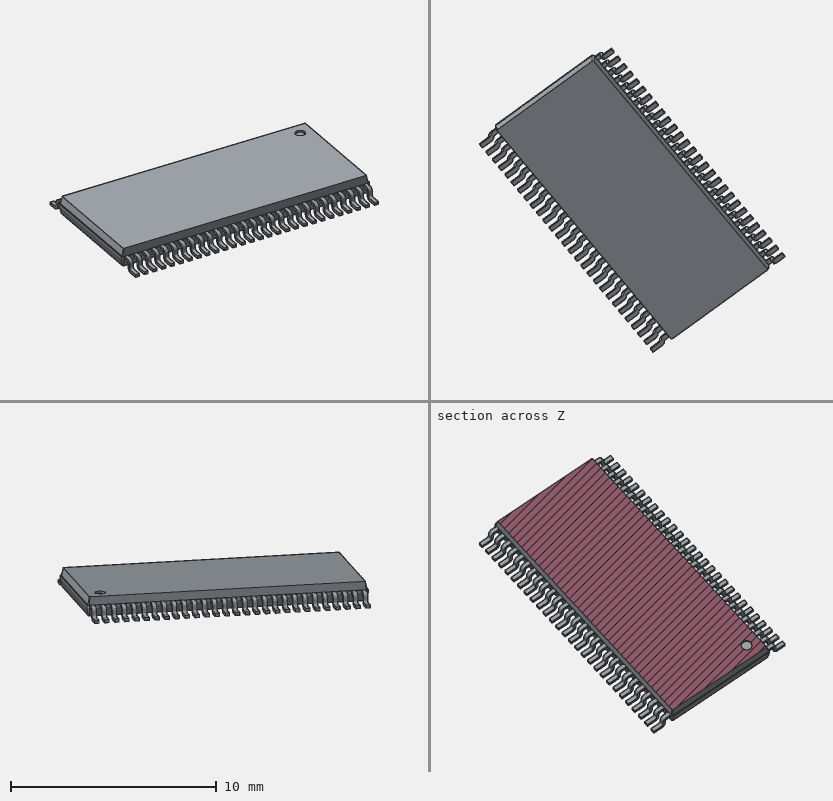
import cadquery as cq
import math

span_x = 8.1
body_length = 14.0
top_z = 1.05

inner_bend_radius = 0.102
outer_bend_radius = 0.25
lead_thickness = outer_bend_radius - inner_bend_radius

body_width = 6.1
standoff = 0.1
belt_height = lead_thickness
upper_ledge = 0.049
draft_angle = 12
corner_chamfer = 0.1
belt_mid_z = (standoff + top_z) / 2
belt_bottom_z = belt_mid_z - belt_height / 2
belt_top_z = belt_mid_z + belt_height / 2

dimple_diameter = 0.5
dimple_depth = 0.1
dimple_x = -2.21
dimple_y = 6.17

leads_per_side = 28
lead_pitch = body_length / leads_per_side
lead_gap = 0.28
lead_width = lead_pitch - lead_gap
shin_outer_x = 3.5
shin_inner_x = shin_outer_x - lead_thickness
lead_embed_depth = 0.28
lead_root_x = body_width / 2 - lead_embed_depth
toe_x = span_x / 2


def chamfered_slab(start_z, height, ledge=0, draft=0):
    """Body outline, set in by ledge all round, extruded from start_z and drafted inward."""
    corner_leg = corner_chamfer - ledge * (2 - math.sqrt(2))
    outline = (
        cq.Sketch()
        .rect(body_width - 2 * ledge, body_length - 2 * ledge)
        .vertices()
        .chamfer(corner_leg)
    )
    return (
        cq.Workplane("XY", origin=(0, 0, start_z))
        .placeSketch(outline)
        .extrude(height, taper=draft)
    )


def make_body():
    belt = chamfered_slab(belt_bottom_z, belt_height)
    upper = chamfered_slab(belt_top_z, top_z - belt_top_z, upper_ledge, draft_angle)
    lower = chamfered_slab(belt_bottom_z, standoff - belt_bottom_z, draft=draft_angle)
    return belt.union(upper).union(lower)


def make_dimple():
    return (
        cq.Workplane("XY")
        .workplane(offset=top_z - dimple_depth)
        .center(dimple_x, dimple_y)
        .circle(dimple_diameter / 2)
        .extrude(dimple_depth)
    )


def make_lead(y):
    """One lead on the +X side, centred on y."""
    return (
        cq.Workplane("XZ", origin=(0, y, 0))
        .moveTo(lead_root_x, belt_top_z)
        .lineTo(shin_outer_x - outer_bend_radius, belt_top_z)
        .tangentArcPoint((outer_bend_radius, -outer_bend_radius))
        .lineTo(shin_outer_x, lead_thickness + inner_bend_radius)
        .tangentArcPoint((inner_bend_radius, -inner_bend_radius))
        .lineTo(toe_x, lead_thickness)
        .lineTo(toe_x, 0)
        .lineTo(shin_inner_x + outer_bend_radius, 0)
        .tangentArcPoint((-outer_bend_radius, outer_bend_radius))
        .lineTo(shin_inner_x, belt_bottom_z - inner_bend_radius)
        .tangentArcPoint((-inner_bend_radius, inner_bend_radius))
        .lineTo(lead_root_x, belt_bottom_z)
        .close()
        .extrude(lead_width / 2, both=True)
    )


first_lead_y = -lead_pitch * (leads_per_side - 1) / 2
leads = []
for index in range(leads_per_side):
    lead = make_lead(first_lead_y + index * lead_pitch)
    leads.append(lead.val())
    leads.append(lead.mirror("YZ").val())

body = make_body().cut(make_dimple())
fused_part = cq.Workplane(obj=body.val().fuse(*leads).clean())
result = cq.Workplane(obj=fused_part.solids().val())